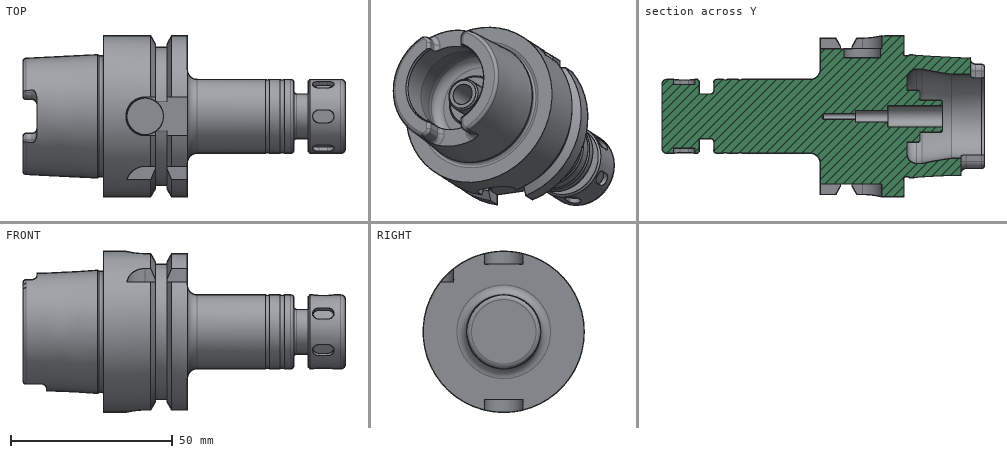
import cadquery as cq
import math


LENGTH = 100.0
TAPER_END = 23.1
FLANGE_FACE = 24.9
FLANGE_BACK = 51.0
SHAFT_END = 84.0
NUT_START = 88.4

TAPER_DIAMETER = 38.3
TAPER_RADIUS = TAPER_DIAMETER / 2
TAPER_SLOPE = 0.05
SHANK_ROUND = 1.0
NECK_START = 23.6
NECK_RADIUS = 18.8
RELIEF_FLOOR = 25.1
RELIEF_FLOOR_RADIUS = 19.4
RELIEF_FACE_RADIUS = 20.3

BORE_RADIUS = 13.0
BORE_BEVEL_LENGTH = 0.9
BORE_BEVEL_DEPTH = 0.3
BORE_LENGTH = 10.2
CHAMBER_RADIUS = 14.6
CHAMBER_START = 19.4
BORE_FLOOR_ROUND = 2.9
BORE_FLOOR = 24.0

COLLAR_RADIUS = 8.1
COLLAR_FRONT = 20.0
COLLAR_CHAMFER = 0.5
TUBE_RADIUS = 5.0
TUBE_FRONT = 13.0
TUBE_CHAMFER = 0.5
TUBE_BORE_DIAMETER = 6.5
TUBE_BORE_END = 30.0
FEED_DIAMETER = 3.5
FEED_END = 40.0
JET_DIAMETER = 1.7
JET_END = 50.0
DRILL_POINT_ANGLE = 118

KEYWAY_HALF_WIDTH = 5.2
KEYWAY_FLARE_START = 14.0
KEYWAY_FLARE_ROUND = 2.2
KEYWAY_DEPTH_TOP = 4.3
KEYWAY_DEPTH_BOTTOM = 7.3
KEYWAY_FLOOR_ROUND = 1.5

FLANGE_RADIUS = 25.0
GROOVE_RADIUS = 21.5
GROOVE_START = 41.1
GROOVE_END = 44.6
GROOVE_LEAD = 1.5
GROOVE_FLANK_ANGLE = 30
GROOVE_LEAD_DEPTH = GROOVE_LEAD / math.tan(math.radians(GROOVE_FLANK_ANGLE))

CUTTER_RADIUS = 6.0
CUTTER_CENTER = 37.9
SLOT_FLOOR = 21.0
CHIP_HOLE_DIAMETER = 11.3
CHIP_HOLE_FLOOR = 18.2
NOTCH_OFFSET = 15.5

SHAFT_RADIUS = 11.5
SHAFT_ROOT_ROUND = 3.0
RING_STARTS = (75.2, 79.7)
RING_WIDTH = 1.3
RING_DEPTH = 0.2
SHAFT_END_ROUND = 1.0
COLLET_NECK_RADIUS = 7.0
COLLET_NECK_ROUND = 0.8

NUT_CHAMFER = 0.6
NUT_ROUND = 1.5
WRENCH_SLOT_COUNT = 6
WRENCH_SLOT_CENTER = 93.1
WRENCH_SLOT_LENGTH = 6.6
WRENCH_SLOT_WIDTH = 4.0
WRENCH_SLOT_FLOOR = 9.9


def rod(start, end, radius):
    """Cylinder on the X axis between two stations."""
    return cq.Workplane("YZ", origin=(start, 0, 0)).circle(radius).extrude(end - start)


def revolve(profile):
    """Turn a closed (x, radius) profile about the X axis."""
    return profile.close().revolve(360, (0, 0, 0), (1, 0, 0))


def shank_and_flange():
    tip_radius = TAPER_RADIUS - TAPER_SLOPE * TAPER_END
    relief_round = RELIEF_FLOOR_RADIUS - NECK_RADIUS
    lead_radius = FLANGE_RADIUS - GROOVE_LEAD_DEPTH
    profile = (
        cq.Workplane("XY")
        .moveTo(0, 0)
        .lineTo(0, tip_radius)
        .lineTo(TAPER_END, TAPER_RADIUS)
        .lineTo(NECK_START, NECK_RADIUS)
        .lineTo(RELIEF_FLOOR - relief_round, NECK_RADIUS)
        .radiusArc((RELIEF_FLOOR, RELIEF_FLOOR_RADIUS), -relief_round)
        .lineTo(FLANGE_FACE, RELIEF_FACE_RADIUS)
        .lineTo(FLANGE_FACE, FLANGE_RADIUS)
        .lineTo(GROOVE_START - GROOVE_LEAD, FLANGE_RADIUS)
        .lineTo(GROOVE_START, lead_radius)
        .lineTo(GROOVE_START, GROOVE_RADIUS)
        .lineTo(GROOVE_END, GROOVE_RADIUS)
        .lineTo(GROOVE_END, lead_radius)
        .lineTo(GROOVE_END + GROOVE_LEAD, FLANGE_RADIUS)
        .lineTo(FLANGE_BACK, FLANGE_RADIUS)
        .lineTo(FLANGE_BACK, 0)
    )
    return revolve(profile)


def shank_bore():
    profile = (
        cq.Workplane("XY")
        .moveTo(0, 0)
        .lineTo(0, BORE_RADIUS + BORE_BEVEL_DEPTH)
        .lineTo(BORE_BEVEL_LENGTH, BORE_RADIUS)
        .lineTo(BORE_LENGTH, BORE_RADIUS)
        .lineTo(CHAMBER_START, CHAMBER_RADIUS)
        .lineTo(BORE_FLOOR - BORE_FLOOR_ROUND, CHAMBER_RADIUS)
        .radiusArc((BORE_FLOOR, CHAMBER_RADIUS - BORE_FLOOR_ROUND), BORE_FLOOR_ROUND)
        .lineTo(BORE_FLOOR, 0)
    )
    return revolve(profile)


def keyway(depth):
    """Cutter for the keyway on the +Z side; it flares out to both sides near the outside."""
    flare_end = KEYWAY_HALF_WIDTH + KEYWAY_FLARE_ROUND
    flare_top = KEYWAY_FLARE_START + KEYWAY_FLARE_ROUND
    cutter = (
        cq.Workplane("YZ")
        .moveTo(-KEYWAY_HALF_WIDTH, 0)
        .lineTo(KEYWAY_HALF_WIDTH, 0)
        .lineTo(KEYWAY_HALF_WIDTH, KEYWAY_FLARE_START)
        .radiusArc((flare_end, flare_top), KEYWAY_FLARE_ROUND)
        .lineTo(FLANGE_RADIUS, flare_top)
        .lineTo(FLANGE_RADIUS, FLANGE_RADIUS)
        .lineTo(-FLANGE_RADIUS, FLANGE_RADIUS)
        .lineTo(-FLANGE_RADIUS, flare_top)
        .lineTo(-flare_end, flare_top)
        .radiusArc((-KEYWAY_HALF_WIDTH, KEYWAY_FLARE_START), KEYWAY_FLARE_ROUND)
        .close()
        .extrude(depth)
    )
    return cutter.faces(">X").edges().fillet(KEYWAY_FLOOR_ROUND)


def flip_to_bottom(shape):
    """Half turn about the X axis, from the +Z side to the -Z side."""
    return shape.rotate((0, 0, 0), (1, 0, 0), 180)


def coolant_tube():
    collar = rod(COLLAR_FRONT, BORE_FLOOR, COLLAR_RADIUS).faces("<X").chamfer(COLLAR_CHAMFER)
    tube = rod(TUBE_FRONT, BORE_FLOOR, TUBE_RADIUS).faces("<X").chamfer(TUBE_CHAMFER)
    return collar.union(tube)


def drill_point():
    """Cone left by the drill at the blind end of the coolant passage."""
    radius = JET_DIAMETER / 2
    length = radius / math.tan(math.radians(DRILL_POINT_ANGLE / 2))
    profile = (
        cq.Workplane("XY")
        .moveTo(JET_END, 0)
        .lineTo(JET_END, radius)
        .lineTo(JET_END + length, 0)
    )
    return revolve(profile)


def coolant_passage():
    passage = rod(TUBE_FRONT, TUBE_BORE_END, TUBE_BORE_DIAMETER / 2)
    passage = passage.union(rod(TUBE_BORE_END, FEED_END, FEED_DIAMETER / 2))
    passage = passage.union(rod(FEED_END, JET_END, JET_DIAMETER / 2))
    return passage.union(drill_point())


def milled_slot(center_y, floor):
    """Slot with a round front end and a flat floor, open upward and through the back of the flange."""
    height = FLANGE_RADIUS - floor
    run_out = FLANGE_BACK - CUTTER_CENTER
    plane = cq.Workplane("XY", origin=(CUTTER_CENTER, center_y, floor))
    straight = plane.center(run_out / 2, 0).rect(run_out, 2 * CUTTER_RADIUS).extrude(height)
    return plane.circle(CUTTER_RADIUS).extrude(height).union(straight)


def drive_slot():
    return milled_slot(0, SLOT_FLOOR)


def corner_notch():
    """L-shaped notch on the -Y +Z corner of the flange."""
    return milled_slot(-NOTCH_OFFSET - CUTTER_RADIUS, NOTCH_OFFSET)


def chip_hole():
    """Round pocket for the data chip on the +Z side, sunk below the drive slot floor."""
    plane = cq.Workplane("XY", origin=(CUTTER_CENTER, 0, CHIP_HOLE_FLOOR))
    return plane.circle(CHIP_HOLE_DIAMETER / 2).extrude(FLANGE_RADIUS - CHIP_HOLE_FLOOR)


def shaft():
    profile = (
        cq.Workplane("XY")
        .moveTo(FLANGE_BACK, 0)
        .lineTo(FLANGE_BACK, SHAFT_RADIUS + SHAFT_ROOT_ROUND)
        .radiusArc((FLANGE_BACK + SHAFT_ROOT_ROUND, SHAFT_RADIUS), -SHAFT_ROOT_ROUND)
    )
    for start in RING_STARTS:
        profile = (
            profile.lineTo(start, SHAFT_RADIUS)
            .sagittaArc((start + RING_WIDTH, SHAFT_RADIUS), -RING_DEPTH)
        )
    profile = (
        profile.lineTo(SHAFT_END - SHAFT_END_ROUND, SHAFT_RADIUS)
        .radiusArc((SHAFT_END, SHAFT_RADIUS - SHAFT_END_ROUND), SHAFT_END_ROUND)
        .lineTo(SHAFT_END, COLLET_NECK_RADIUS + COLLET_NECK_ROUND)
        .radiusArc((SHAFT_END + COLLET_NECK_ROUND, COLLET_NECK_RADIUS), -COLLET_NECK_ROUND)
        .lineTo(NUT_START, COLLET_NECK_RADIUS)
        .lineTo(NUT_START, 0)
    )
    return revolve(profile)


def nut():
    body = rod(NUT_START, LENGTH, SHAFT_RADIUS)
    body = body.faces("<X").chamfer(NUT_CHAMFER).faces(">X").edges().fillet(NUT_ROUND)
    wrench_slot = (
        cq.Workplane("XY", origin=(WRENCH_SLOT_CENTER, 0, WRENCH_SLOT_FLOOR))
        .slot2D(WRENCH_SLOT_LENGTH, WRENCH_SLOT_WIDTH)
        .extrude(SHAFT_RADIUS - WRENCH_SLOT_FLOOR)
    )
    for index in range(WRENCH_SLOT_COUNT):
        angle = index * 360 / WRENCH_SLOT_COUNT
        body = body.cut(wrench_slot.rotate((0, 0, 0), (1, 0, 0), angle))
    return body


holder = shank_and_flange().cut(keyway(KEYWAY_DEPTH_TOP))
holder = holder.cut(flip_to_bottom(keyway(KEYWAY_DEPTH_BOTTOM)))
holder = holder.faces("<X").edges().fillet(SHANK_ROUND)
holder = holder.cut(shank_bore())
holder = holder.union(coolant_tube()).cut(coolant_passage())

holder = holder.cut(drive_slot()).cut(flip_to_bottom(drive_slot()))
holder = holder.cut(chip_hole()).cut(corner_notch())

result = holder.union(shaft()).union(nut())